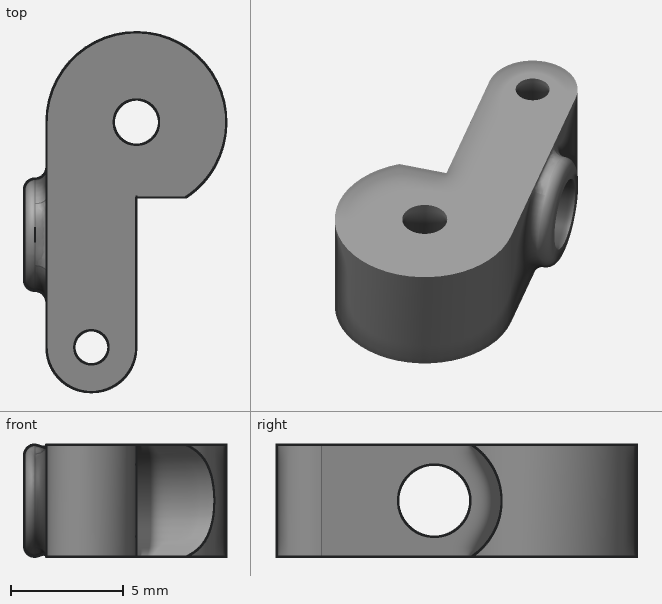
import cadquery as cq
import math

thickness = 5.0
disc_radius = 4.0
disc_hole_diameter = 2.0
arm_width = 4.0
arm_hole_diameter = 1.5
hole_spacing = 10.0

boss_diameter = thickness
boss_length = 1.0
boss_hole_diameter = 3.2
boss_fillet = boss_length / 2

arm_left = -disc_radius
arm_right = arm_left + arm_width
arm_end_radius = arm_width / 2
arm_center_x = arm_left + arm_end_radius
boss_y = -hole_spacing / 2
boss_radius = boss_diameter / 2
boss_base_radius = boss_radius + boss_fillet
boss_face = arm_left - boss_length
bend_x = arm_left - boss_fillet
rim_radius = boss_radius - boss_fillet
bulge = boss_fillet * math.sqrt(0.5)


def upright_cylinder(x, y, diameter):
    return cq.Workplane("XY").center(x, y).circle(diameter / 2).extrude(thickness / 2, both=True)


def cross_cylinder(start_x, end_x, radius):
    """Cylinder along X on the boss axis."""
    return cq.Workplane("YZ", origin=(start_x, boss_y, 0)).circle(radius).extrude(end_x - start_x)


def make_lever():
    disc = upright_cylinder(0, 0, 2 * disc_radius)
    arm = (
        cq.Workplane("XY", origin=(0, 0, -thickness / 2))
        .moveTo(arm_left, 0)
        .lineTo(arm_left, -hole_spacing)
        .threePointArc((arm_center_x, -hole_spacing - arm_end_radius), (arm_right, -hole_spacing))
        .lineTo(arm_right, 0)
        .close()
        .extrude(thickness)
    )
    return disc.union(arm)


def boss_point(x, radius, angle):
    """Point at a radius and angle around the boss axis; the angle starts at +Y and turns to +Z."""
    return cq.Vector(x, boss_y + radius * math.cos(angle), radius * math.sin(angle))


def make_round_boss():
    """Boss with a rounded rim and a flared base all the way round."""
    profile = (
        cq.Workplane("XY", origin=(0, boss_y, 0))
        .moveTo(arm_left, 0)
        .lineTo(boss_face, 0)
        .lineTo(boss_face, rim_radius)
        .threePointArc((bend_x - bulge, rim_radius + bulge), (bend_x, boss_radius))
        .threePointArc((bend_x + bulge, boss_base_radius - bulge), (arm_left, boss_base_radius))
        .close()
    )
    return profile.revolve(360, (0, 0, 0), (1, 0, 0))


def flare_section(angle):
    """Quarter arc of the base flare at one angle."""
    return cq.Edge.makeThreePointArc(
        boss_point(bend_x, boss_radius, angle),
        boss_point(bend_x + bulge, boss_base_radius - bulge, angle),
        boss_point(arm_left, boss_base_radius, angle),
    )


def face_between(*edges):
    return cq.Face.makeFromWires(cq.Wire.assembleEdges(list(edges)))


def make_flare_wedge():
    """Upper sector of the boss base, blending from the boss circle to the straight top edge of the arm."""
    first_angle = math.asin(thickness / 2 / boss_base_radius)
    last_angle = math.pi - first_angle
    outer_axis = boss_point(bend_x, 0, 0)
    inner_axis = boss_point(arm_left, 0, 0)
    axis_edge = cq.Edge.makeLine(outer_axis, inner_axis)
    boss_arc = cq.Edge.makeThreePointArc(
        boss_point(bend_x, boss_radius, first_angle),
        boss_point(bend_x, boss_radius, math.pi / 2),
        boss_point(bend_x, boss_radius, last_angle),
    )
    arm_edge = cq.Edge.makeLine(
        boss_point(arm_left, boss_base_radius, first_angle),
        boss_point(arm_left, boss_base_radius, last_angle),
    )
    sections = []
    outer_spokes = []
    inner_spokes = []
    for angle in (first_angle, last_angle):
        sections.append(flare_section(angle))
        outer_spokes.append(cq.Edge.makeLine(outer_axis, boss_point(bend_x, boss_radius, angle)))
        inner_spokes.append(cq.Edge.makeLine(inner_axis, boss_point(arm_left, boss_base_radius, angle)))

    faces = [
        cq.Face.makeNSidedSurface([boss_arc, sections[1], arm_edge, sections[0]], []),
        face_between(outer_spokes[0], boss_arc, outer_spokes[1]),
        face_between(inner_spokes[0], arm_edge, inner_spokes[1]),
    ]
    for section, outer_spoke, inner_spoke in zip(sections, outer_spokes, inner_spokes):
        faces.append(face_between(axis_edge, outer_spoke, section, inner_spoke))
    return cq.Workplane(cq.Solid.makeSolid(cq.Shell.makeShell(faces)))


def make_sector_cutter():
    """Triangular prism over the upper sector of the flare, reaching past its outer edge."""
    half_width = math.sqrt(boss_base_radius**2 - (thickness / 2) ** 2)
    reach = 2
    far_y = reach * half_width
    far_z = reach * thickness / 2
    return (
        cq.Workplane("YZ", origin=(bend_x, boss_y, 0))
        .polyline([(0, 0), (far_y, far_z), (-far_y, far_z)])
        .close()
        .extrude(boss_fillet)
    )


def make_boss():
    """Side boss whose flare stays within the thickness of the lever."""
    boss = make_round_boss()
    wedge = make_flare_wedge()
    cutter = make_sector_cutter()
    boss = boss.cut(cutter).cut(cutter.mirror("XY"))
    return boss.union(wedge).union(wedge.mirror("XY"))


result = make_lever().union(make_boss())

result = result.cut(cross_cylinder(arm_right, disc_radius, boss_base_radius))

result = result.cut(upright_cylinder(0, 0, disc_hole_diameter))
result = result.cut(upright_cylinder(arm_center_x, -hole_spacing, arm_hole_diameter))
result = result.cut(cross_cylinder(boss_face, arm_right, boss_hole_diameter / 2))